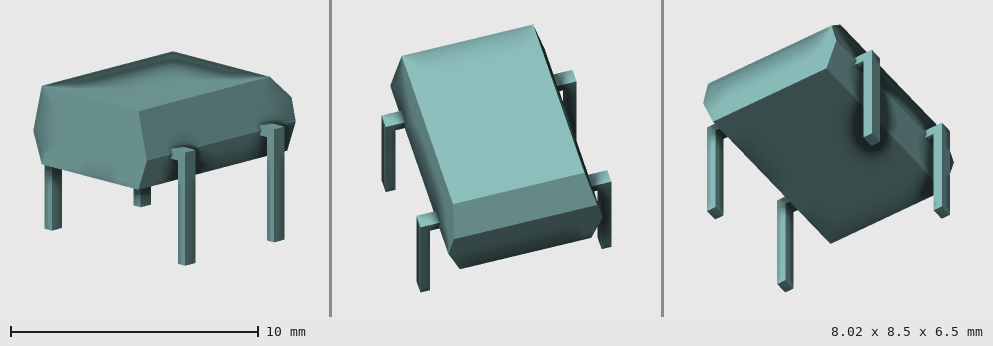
import cadquery as cq

body_length = 8.5
body_width = 6.49
face_width = 5.525
body_height = 3.29
parting_height = 1.31
end_chamfer = 1.0

lead_span = 8.02
lead_thickness = 0.41
lead_width = 0.59
lead_pitch = 5.075
lead_top = 1.52
lead_drop = 3.21
lead_embed = 0.34


def make_body():
    half_width = body_width / 2
    half_face = face_width / 2
    profile = [
        (-half_face, 0),
        (half_face, 0),
        (half_width, parting_height),
        (half_face, body_height),
        (-half_face, body_height),
        (-half_width, parting_height),
    ]
    body = cq.Workplane("XZ").polyline(profile).close().extrude(body_length / 2, both=True)
    return body.faces(">Z").edges(">Y").chamfer(end_chamfer)


def make_lead(side, y_center):
    """L-shaped lead on the given X side (+1 or -1)."""
    outer = side * lead_span / 2
    inner = outer - side * lead_thickness
    arm_end = side * (body_width / 2 - lead_embed)
    arm_bottom = lead_top - lead_thickness
    profile = [
        (outer, -lead_drop),
        (outer, lead_top),
        (arm_end, lead_top),
        (arm_end, arm_bottom),
        (inner, arm_bottom),
        (inner, -lead_drop),
    ]
    lead = cq.Workplane("XZ").polyline(profile).close().extrude(lead_width / 2, both=True)
    return lead.translate((0, y_center, 0))


result = make_body()
for side in (-1, 1):
    for y_center in (-lead_pitch / 2, lead_pitch / 2):
        result = result.union(make_lead(side, y_center))